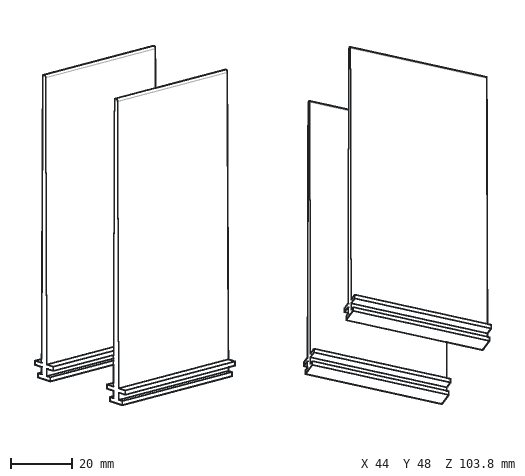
import cadquery as cq

TOTAL_HEIGHT = 103.8
DEPTH = 48.0
TOTAL_WIDTH = 44.0

FOOT_WIDTH = 6.0
FLANGE_WIDTH = 8.9
RAIL_THICKNESS = 1.5
GROOVE_HEIGHT = 2.5
STEM_WIDTH = 2.6
TIP_WIDTH = 1.5

FLANGE_BOTTOM = RAIL_THICKNESS + GROOVE_HEIGHT
FLANGE_TOP = FLANGE_BOTTOM + RAIL_THICKNESS
TIP_START = TOTAL_HEIGHT - TIP_WIDTH / 2
DIVIDER_SPACING = TOTAL_WIDTH - FLANGE_WIDTH


def make_divider(center_x):
    """Extrude a tapered blade with a round tip, standing on a T-slot rail."""
    foot = FOOT_WIDTH / 2
    stem = STEM_WIDTH / 2
    flange = FLANGE_WIDTH / 2
    tip = TIP_WIDTH / 2
    return (
        cq.Workplane("XZ", origin=(center_x, 0, 0))
        .moveTo(-foot, 0)
        .lineTo(foot, 0)
        .lineTo(foot, RAIL_THICKNESS)
        .lineTo(stem, RAIL_THICKNESS)
        .lineTo(stem, FLANGE_BOTTOM)
        .lineTo(flange, FLANGE_BOTTOM)
        .lineTo(flange, FLANGE_TOP)
        .lineTo(stem, FLANGE_TOP)
        .lineTo(tip, TIP_START)
        .threePointArc((0, TOTAL_HEIGHT), (-tip, TIP_START))
        .lineTo(-stem, FLANGE_TOP)
        .lineTo(-flange, FLANGE_TOP)
        .lineTo(-flange, FLANGE_BOTTOM)
        .lineTo(-stem, FLANGE_BOTTOM)
        .lineTo(-stem, RAIL_THICKNESS)
        .lineTo(-foot, RAIL_THICKNESS)
        .close()
        .extrude(DEPTH / 2, both=True)
    )


dividers = [make_divider(side * DIVIDER_SPACING / 2) for side in (-1, 1)]

result = cq.Compound.makeCompound([divider.val() for divider in dividers])